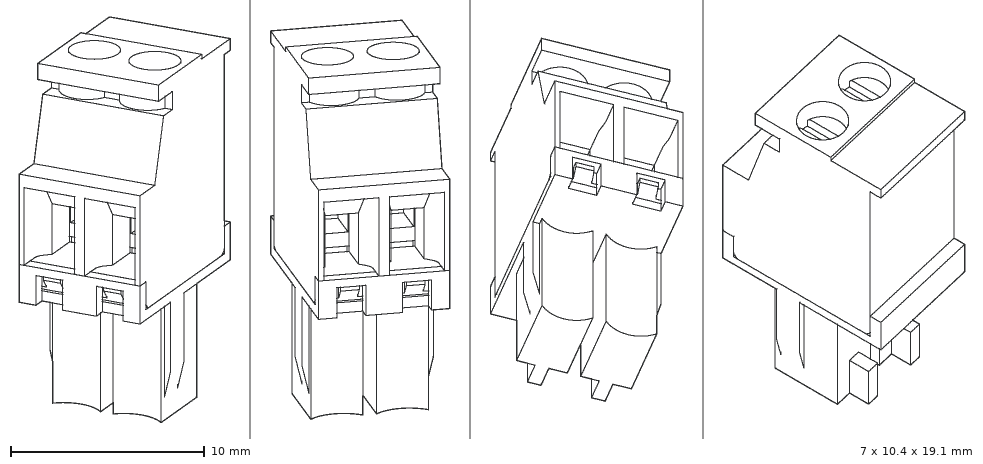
import cadquery as cq
import math


width = 7.0
depth = 10.42
height = 19.1
pole_pitch = 3.5
pole_xs = [-pole_pitch / 2, pole_pitch / 2]

tray_bottom = 6.6
tray_floor_top = 7.17
tray_lip_top = 8.7
tray_wall = 0.7
latch_window_width = 1.55
latch_window_top = 8.25
post_width = 2.77
post_front = 3.15
post_back = 7.27
post_hollow_radius = 2.05
key_width = 0.75
key_length = 1.26
key_height = 2.5
rib_front = 3.54
rib_back = 5.06
rib_taper_top = 2.8
rib_taper_bottom = 1.28

housing_back = depth - tray_wall
bottom_chamfer = 0.25
ledge_z = 13.7
slope_bottom_y = 1.7
slope_top_y = 2.72
notch_bottom = 17.2
notch_top = 18.2
notch_wall_y = 3.73
top_plate_front = 2.14
top_step_y = 7.12
rear_top = 18.85
boss_radius = 1.47
boss_front = 2.9
latch_width = 1.0
latch_reach = 0.4
latch_face_bottom = 7.94

funnel_width = 2.93
funnel_top = 13.0
throat_width = 1.76
throat_top = 11.5
flare_end_y = 1.77
throat_start_y = 2.08
side_flare_inset = 0.25
top_flare_drop = 0.39

screw_y = 5.2
screw_head_diameter = 2.7
screw_head_top = 18.1
screw_head_height = 1.0
screw_head_bottom = screw_head_top - screw_head_height
screw_head_round = 0.25
screw_shank_diameter = 1.9
screw_slot_width = 0.75
screw_slot_depth = 0.6
clamp_width = 2.4
clamp_length = 2.2
clamp_front = screw_y - clamp_length / 2
clamp_bottom = 9.0
clamp_top = 14.0
clamp_window_width = 1.66
clamp_window_bottom = 9.77
clamp_window_top = 12.0
contact_width = 1.55
contact_thickness = 0.8
contact_bottom = 1.0


def block(x_center, x_size, y_min, y_max, z_min, z_max):
    """Box centred on x_center in X and spanning the given Y and Z ranges."""
    box = cq.Workplane("XY").box(x_size, y_max - y_min, z_max - z_min, centered=(True, False, False))
    return box.translate((x_center, y_min, z_min))


def cylinder(x, y, radius, z_min, z_max):
    """Upright cylinder."""
    return cq.Workplane("XY").center(x, y).circle(radius).extrude(z_max - z_min).translate((0, 0, z_min))


def extrude_across(profile, x_size):
    """Extrude a closed YZ profile symmetrically about X = 0."""
    return profile.extrude(x_size / 2, both=True)


def clamp_envelope(x):
    return block(x, clamp_width, clamp_front, clamp_front + clamp_length, clamp_bottom, clamp_top)


def make_contact(x):
    return block(x, contact_width, clamp_front, clamp_front + contact_thickness, contact_bottom, clamp_bottom)


def make_clamp(x):
    """Cage with a wire window from front to back and a screw hole in its roof."""
    window = block(
        x, clamp_window_width, clamp_front, clamp_front + clamp_length, clamp_window_bottom, clamp_window_top
    )
    screw_hole = cylinder(x, screw_y, screw_shank_diameter / 2, clamp_window_top, clamp_top)
    return clamp_envelope(x).cut(window).cut(screw_hole)


def make_screw(x):
    """Slotted screw with a rounded head edge."""
    head = cylinder(x, screw_y, screw_head_diameter / 2, screw_head_bottom, screw_head_top)
    head = head.faces(">Z").edges().fillet(screw_head_round)
    slot = block(
        x,
        screw_slot_width,
        screw_y - screw_head_diameter,
        screw_y + screw_head_diameter,
        screw_head_top - screw_slot_depth,
        screw_head_top,
    )
    shank = cylinder(x, screw_y, screw_shank_diameter / 2, clamp_window_top, screw_head_bottom)
    return head.cut(slot).union(shank)


def screw_bore(x):
    """Stepped hole: open above the head, close fit around the shank."""
    head_bore = cylinder(x, screw_y, screw_head_diameter / 2, screw_head_bottom, height)
    shank_bore = cylinder(x, screw_y, screw_shank_diameter / 2, clamp_top, screw_head_bottom)
    return head_bore.union(shank_bore)


def wire_funnel(x):
    """Flared wire entry, the overlap of a plan outline and a side outline."""
    side_angle = math.atan2((funnel_width - throat_width) / 2 - side_flare_inset, throat_start_y - flare_end_y)
    side_radius = side_flare_inset / (1 - math.cos(side_angle))
    side_arc_start = flare_end_y - side_radius * math.sin(side_angle)
    half = funnel_width / 2
    half_throat = throat_width / 2
    half_flare = half - side_flare_inset
    side_mid_x = half - side_radius * (1 - math.cos(side_angle / 2))
    side_mid_y = side_arc_start + side_radius * math.sin(side_angle / 2)
    plan = (
        cq.Workplane("XY")
        .moveTo(-half, 0)
        .lineTo(half, 0)
        .lineTo(half, side_arc_start)
        .threePointArc((side_mid_x, side_mid_y), (half_flare, flare_end_y))
        .lineTo(half_throat, throat_start_y)
        .lineTo(half_throat, clamp_front)
        .lineTo(-half_throat, clamp_front)
        .lineTo(-half_throat, throat_start_y)
        .lineTo(-half_flare, flare_end_y)
        .threePointArc((-side_mid_x, side_mid_y), (-half, side_arc_start))
        .close()
        .extrude(height)
    )
    flare_top = funnel_top - top_flare_drop
    roof_angle = math.atan2(flare_top - throat_top, throat_start_y - flare_end_y)
    roof_radius = top_flare_drop / (1 - math.cos(roof_angle))
    roof_arc_start = flare_end_y - roof_radius * math.sin(roof_angle)
    roof_mid_y = roof_arc_start + roof_radius * math.sin(roof_angle / 2)
    roof_mid_z = funnel_top - roof_radius * (1 - math.cos(roof_angle / 2))
    side = (
        cq.Workplane("YZ")
        .moveTo(0, tray_lip_top)
        .lineTo(0, funnel_top)
        .lineTo(roof_arc_start, funnel_top)
        .threePointArc((roof_mid_y, roof_mid_z), (flare_end_y, flare_top))
        .lineTo(throat_start_y, throat_top)
        .lineTo(clamp_front, throat_top)
        .lineTo(clamp_front, tray_lip_top)
        .close()
    )
    return plan.intersect(extrude_across(side, funnel_width)).translate((x, 0, 0))


def latch_nub(x):
    """Snap wedge that sits in the window of the base's front wall."""
    nub_front = tray_wall - latch_reach
    profile = cq.Workplane("YZ").polyline(
        [
            (tray_wall, tray_floor_top + bottom_chamfer),
            (nub_front, latch_face_bottom),
            (nub_front, latch_window_top),
            (tray_wall, latch_window_top),
        ]
    ).close()
    return extrude_across(profile, latch_width).translate((x, 0, 0))


def make_housing():
    profile = cq.Workplane("YZ").polyline(
        [
            (tray_wall + bottom_chamfer, tray_floor_top),
            (tray_wall, tray_floor_top + bottom_chamfer),
            (tray_wall, tray_lip_top),
            (0, tray_lip_top),
            (0, ledge_z),
            (slope_bottom_y, ledge_z),
            (slope_top_y, notch_bottom),
            (notch_wall_y, notch_bottom),
            (notch_wall_y, notch_top),
            (top_plate_front, notch_top),
            (top_plate_front, height),
            (top_step_y, height),
            (top_step_y, rear_top),
            (depth, rear_top),
            (depth, notch_top),
            (housing_back, notch_top),
            (housing_back, tray_floor_top + bottom_chamfer),
            (housing_back - bottom_chamfer, tray_floor_top),
        ]
    ).close()
    body = extrude_across(profile, width)
    for x in pole_xs:
        body = body.union(cylinder(x, boss_front + boss_radius, boss_radius, notch_bottom, notch_top))
        body = body.union(latch_nub(x))
    for x in pole_xs:
        body = body.cut(wire_funnel(x))
        body = body.cut(clamp_envelope(x))
        body = body.cut(make_contact(x))
        body = body.cut(screw_bore(x))
    return body


def plug_post(x):
    """Post with a concave front and a coding key at the foot of its back."""
    half = post_width / 2
    hollow_y = post_front + post_hollow_radius - math.sqrt(post_hollow_radius**2 - half**2)
    post = (
        cq.Workplane("XY")
        .moveTo(-half, post_front)
        .threePointArc((0, hollow_y), (half, post_front))
        .lineTo(half, post_back)
        .lineTo(-half, post_back)
        .close()
        .extrude(tray_floor_top)
        .translate((x, 0, 0))
    )
    key = block(x, key_width, post_back, post_back + key_length, 0, key_height)
    return post.union(key)


def side_rib(side):
    """Tapered rib on the outer flank of a post; side is -1 or +1."""
    flank_x = (pole_pitch + post_width) / 2
    profile = cq.Workplane("XZ", origin=(0, rib_back, 0)).polyline(
        [
            (side * flank_x, rib_taper_bottom),
            (side * width / 2, rib_taper_top),
            (side * width / 2, tray_bottom),
            (side * flank_x, tray_bottom),
        ]
    ).close()
    return profile.extrude(rib_back - rib_front)


def make_base():
    body = block(0, width, 0, depth, tray_bottom, tray_lip_top)
    body = body.cut(block(0, width, tray_wall, housing_back, tray_floor_top, tray_lip_top))
    for x in pole_xs:
        body = body.cut(block(x, latch_window_width, 0, tray_wall, tray_bottom, latch_window_top))
        body = body.union(plug_post(x))
    for side in (-1, 1):
        body = body.union(side_rib(side))
    for x in pole_xs:
        body = body.cut(make_contact(x))
    return body


housing = make_housing()
base = make_base()
clamps = [make_clamp(x) for x in pole_xs]
contacts = [make_contact(x) for x in pole_xs]
screws = [make_screw(x) for x in pole_xs]

bodies = [housing, base, *clamps, *contacts, *screws]
result = cq.Compound.makeCompound([body.solids().val() for body in bodies])